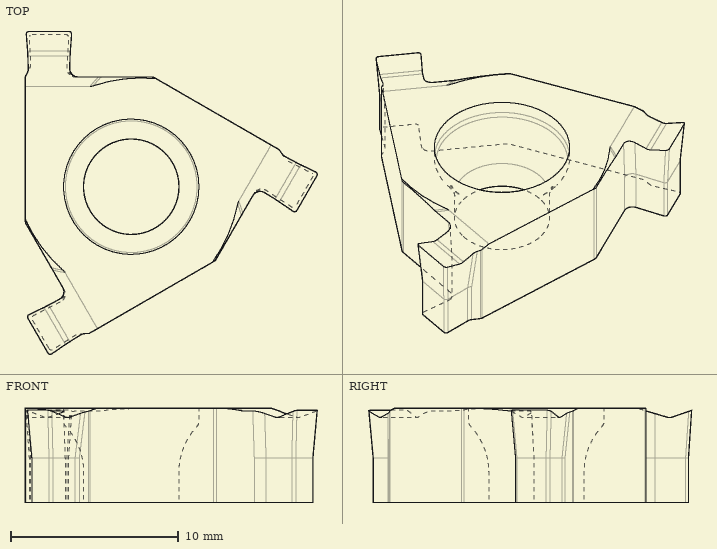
import cadquery as cq
import math


TOOTH_COUNT = 3
TOOTH_PITCH = 360 / TOOTH_COUNT
HEIGHT = 5.66
SEAT_DISTANCE = 6.35
WALL_DISTANCE = 6.57
BODY_CORNER_RADIUS = 0.45

EDGE_HEIGHT = 5.53
TIP_Y = 9.30
TIP_LEFT_X = -6.30
TIP_WIDTH = 2.75
TIP_CORNER_RADIUS = 0.17
SIDE_TAPER = math.tan(math.radians(3))
NECK_RADIUS = 0.5
CLEARANCE = math.tan(math.radians(3.8))
CLEARANCE_START = 2.67

SHOULDER_Y = 6.58
SHOULDER_SLOPE = math.tan(math.radians(28))
SHOULDER_ROUND = 0.2
SHOULDER_FILLET = 0.5

BORE_RADIUS = 5.7 / 2
COUNTERBORE_RADIUS = 4.05
COUNTERBORE_DEPTH = 0.81
COUNTERBORE_FILLET = 0.4
SEAT_RADIUS = 4.0

GROOVE_START_Y = 6.0
BACK_SLOPE = math.tan(math.radians(16.5))
RAKE_SLOPE = math.tan(math.radians(19))
GROOVE_FILLET = 0.5
RUNOUT_RADIUS = 9.0
RUNOUT_CENTRE_X = 0.6
RUNOUT_FAR_Y = 6.51
RUNOUT_FILLET = 0.8
RUNOUT_SLOPE = 0.43

MARGIN = 1.0


def rotated(point, degrees):
    angle = math.radians(degrees)
    x, y = point
    return (
        x * math.cos(angle) - y * math.sin(angle),
        x * math.sin(angle) + y * math.cos(angle),
    )


def rounded_polygon(plane, corners):
    """Close an outline through (point, radius) corners, each rounded by an arc."""
    arcs = []
    for index, (corner, radius) in enumerate(corners):
        corner = cq.Vector(*corner)
        to_previous = (cq.Vector(*corners[index - 1][0]) - corner).normalized()
        to_next = (cq.Vector(*corners[(index + 1) % len(corners)][0]) - corner).normalized()
        half_angle = to_previous.getAngle(to_next) / 2
        tangent_length = radius / math.tan(half_angle)
        apex_distance = radius / math.sin(half_angle) - radius
        bisector = (to_previous + to_next).normalized()
        arcs.append((
            (corner + to_previous * tangent_length).toTuple()[:2],
            (corner + bisector * apex_distance).toTuple()[:2],
            (corner + to_next * tangent_length).toTuple()[:2],
        ))
    outline = plane.moveTo(*arcs[0][0])
    for start, apex, end in arcs:
        if start != arcs[0][0]:
            outline = outline.lineTo(*start)
        outline = outline.threePointArc(apex, end)
    return outline.close()


def sector_corners(z):
    """Corners and radii of one third of the outline at height z, clockwise."""
    growth = (z - EDGE_HEIGHT) * CLEARANCE
    tip_y = TIP_Y + growth
    tip_left = TIP_LEFT_X - growth
    tip_right = TIP_LEFT_X + TIP_WIDTH + growth
    gap = tip_left + (tip_y - SHOULDER_Y) * SIDE_TAPER + SEAT_DISTANCE
    neck_rise = gap / (SHOULDER_SLOPE + SIDE_TAPER)
    neck_left = (-SEAT_DISTANCE + neck_rise * SHOULDER_SLOPE, SHOULDER_Y + neck_rise)
    neck_right = (tip_right - (tip_y - WALL_DISTANCE) * SIDE_TAPER, WALL_DISTANCE)
    seat_angle = math.radians(180 - TOOTH_PITCH)
    body_corner_x = (SEAT_DISTANCE - WALL_DISTANCE * math.sin(seat_angle)) / math.cos(seat_angle)
    return [
        ((-SEAT_DISTANCE, SHOULDER_Y), SHOULDER_ROUND),
        (neck_left, SHOULDER_FILLET),
        ((tip_left, tip_y), TIP_CORNER_RADIUS),
        ((tip_right, tip_y), TIP_CORNER_RADIUS),
        (neck_right, NECK_RADIUS),
        ((body_corner_x, WALL_DISTANCE), BODY_CORNER_RADIUS),
    ]


def outline_at(plane, z):
    corners = []
    for index in range(TOOTH_COUNT):
        for point, radius in sector_corners(z):
            corners.append((rotated(point, -index * TOOTH_PITCH), radius))
    return rounded_polygon(plane, corners)


def make_blank():
    """Upright lower part, and an upper part whose tooth flanks flare outward."""
    lower = outline_at(cq.Workplane("XY"), CLEARANCE_START).extrude(CLEARANCE_START)
    flare_plane = cq.Workplane("XY", origin=(0, 0, CLEARANCE_START))
    flare_start = outline_at(flare_plane, CLEARANCE_START)
    top_plane = flare_start.workplane(offset=HEIGHT - CLEARANCE_START, origin=(0, 0))
    upper = outline_at(top_plane, HEIGHT).loft(ruled=True)
    return lower.union(upper)


def make_screw_hole():
    fillet_centre_r = COUNTERBORE_RADIUS - COUNTERBORE_FILLET
    fillet_centre_z = HEIGHT - COUNTERBORE_DEPTH
    seat_centre_r = BORE_RADIUS + SEAT_RADIUS
    centre_distance = COUNTERBORE_FILLET + SEAT_RADIUS
    contact_angle = math.acos((seat_centre_r - fillet_centre_r) / centre_distance)
    seat_centre_z = fillet_centre_z - centre_distance * math.sin(contact_angle)

    def on_fillet(angle):
        return (
            fillet_centre_r + COUNTERBORE_FILLET * math.cos(angle),
            fillet_centre_z - COUNTERBORE_FILLET * math.sin(angle),
        )

    def on_seat(angle):
        return (
            seat_centre_r - SEAT_RADIUS * math.cos(angle),
            seat_centre_z + SEAT_RADIUS * math.sin(angle),
        )

    return (
        cq.Workplane("XZ")
        .moveTo(0, HEIGHT + MARGIN)
        .lineTo(COUNTERBORE_RADIUS, HEIGHT + MARGIN)
        .lineTo(*on_fillet(0))
        .threePointArc(on_fillet(contact_angle / 2), on_fillet(contact_angle))
        .threePointArc(on_seat(contact_angle / 2), on_seat(0))
        .lineTo(BORE_RADIUS, -MARGIN)
        .lineTo(0, -MARGIN)
        .close()
        .revolve(360, (0, 0, 0), (0, 1, 0))
    )


def make_chip_groove():
    """V-shaped groove along X whose end fades out in a conical surface."""
    rise_at_tip = EDGE_HEIGHT - HEIGHT
    valley_y = (
        (RAKE_SLOPE * TIP_Y + BACK_SLOPE * GROOVE_START_Y - rise_at_tip)
        / (RAKE_SLOPE + BACK_SLOPE)
    )
    valley_z = HEIGHT - BACK_SLOPE * (valley_y - GROOVE_START_Y)
    far_y = TIP_Y + MARGIN
    top_z = HEIGHT + MARGIN
    length = SEAT_DISTANCE + RUNOUT_CENTRE_X + 2 * MARGIN
    valley_edge = cq.selectors.NearestToPointSelector(
        (-SEAT_DISTANCE - MARGIN + length / 2, valley_y, valley_z)
    )
    groove = (
        cq.Workplane("YZ", origin=(-SEAT_DISTANCE - MARGIN, 0, 0))
        .moveTo(GROOVE_START_Y - MARGIN, HEIGHT + BACK_SLOPE * MARGIN)
        .lineTo(valley_y, valley_z)
        .lineTo(far_y, EDGE_HEIGHT + RAKE_SLOPE * MARGIN)
        .lineTo(far_y, top_z)
        .lineTo(GROOVE_START_Y - MARGIN, top_z)
        .close()
        .extrude(length)
        .edges(valley_edge)
        .fillet(GROOVE_FILLET)
    )
    cone = (
        cq.Workplane("XZ", origin=(RUNOUT_CENTRE_X, RUNOUT_FAR_Y - RUNOUT_RADIUS, 0))
        .moveTo(0, top_z)
        .lineTo(RUNOUT_RADIUS - MARGIN / RUNOUT_SLOPE, top_z)
        .lineTo(RUNOUT_RADIUS + MARGIN / RUNOUT_SLOPE, HEIGHT - MARGIN)
        .lineTo(0, HEIGHT - MARGIN)
        .close()
        .revolve(360, (0, 0, 0), (0, 1, 0))
    )
    return groove.cut(cone).edges("%ELLIPSE").fillet(RUNOUT_FILLET)


insert = make_blank().cut(make_screw_hole())
chip_groove = make_chip_groove()
for tooth in range(TOOTH_COUNT):
    insert = insert.cut(chip_groove.rotate((0, 0, 0), (0, 0, 1), tooth * TOOTH_PITCH))

result = insert